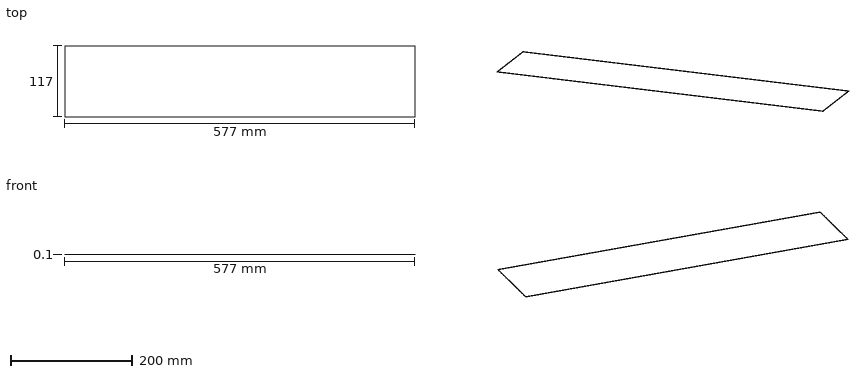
import cadquery as cq

length = 577.0
width = 117.0
thickness = 0.1

result = cq.Workplane("XY").box(length, width, thickness)